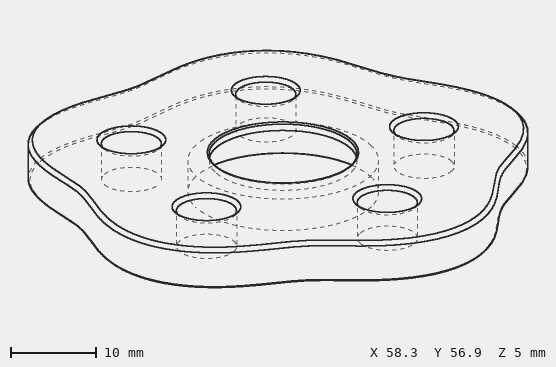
import cadquery as cq
import math

thickness = 5.0
lobe_count = 5
lobe_radius = 30.0
valley_radius = 26.0
first_lobe_angle = -90.0
wave_offset = 3.7
points_per_lobe = 16
top_chamfer = 0.5
bottom_chamfer = 0.2

lip_thickness = 1.0
bore_diameter = 17.2
bore_chamfer = 0.2
pocket_diameter = 22.2

bolt_circle_radius = 18.0
bolt_hole_diameter = 7.0
bolt_hole_chamfer = 0.5

lobe_pitch = 360.0 / lobe_count


def polar_point(radius, angle):
    """Return the XY point at a radius and an angle in degrees."""
    return (radius * math.cos(math.radians(angle)), radius * math.sin(math.radians(angle)))


def outline_point(turn):
    """Point of the lobed outline, at an angle in degrees measured from the first lobe tip.

    The outline is offset outwards from the wave r = mean + amplitude * cos(lobe_count * turn).
    """
    amplitude = (lobe_radius - valley_radius) / 2
    mean_radius = (lobe_radius + valley_radius) / 2 - wave_offset
    phase = math.radians(lobe_count * turn)
    radius = mean_radius + amplitude * math.cos(phase)
    slope = -lobe_count * amplitude * math.sin(phase)
    angle = first_lobe_angle + turn
    normal_angle = angle - math.degrees(math.atan2(slope, radius))
    x, y = polar_point(radius, angle)
    offset_x, offset_y = polar_point(wave_offset, normal_angle)
    return (x + offset_x, y + offset_y)


def lobed_plate():
    """Flower-shaped plate bounded by one smooth closed curve, chamfered top and bottom."""
    segment_count = lobe_count * points_per_lobe
    outline = [outline_point(360.0 * step / segment_count) for step in range(segment_count)]
    plate = cq.Workplane("XY").spline(outline, periodic=True, makeWire=True).extrude(thickness)
    plate = plate.faces(">Z").edges().chamfer(top_chamfer)
    return plate.faces("<Z").edges().chamfer(bottom_chamfer)


def cylinder(diameter, bottom, top):
    """Cylinder on the Z axis between two heights."""
    return cq.Workplane("XY").workplane(offset=bottom).circle(diameter / 2).extrude(top - bottom)


def chamfered_hole(diameter, chamfer):
    """Cutting body for a through hole on the Z axis, chamfered at its upper mouth."""
    mouth = cq.Solid.makeCone(diameter / 2, diameter / 2 + chamfer, chamfer)
    mouth = mouth.translate(cq.Vector(0, 0, thickness - chamfer))
    return cylinder(diameter, 0, thickness).union(cq.Workplane(mouth))


def central_opening():
    """Cutting body for the central bore and the pocket beneath its lip."""
    pocket = cylinder(pocket_diameter, 0, thickness - lip_thickness)
    return chamfered_hole(bore_diameter, bore_chamfer).union(pocket)


def bolt_hole(angle):
    """Cutting body for one bolt hole on the bolt circle."""
    x, y = polar_point(bolt_circle_radius, angle)
    return chamfered_hole(bolt_hole_diameter, bolt_hole_chamfer).translate((x, y, 0))


result = lobed_plate().cut(central_opening())
for lobe in range(lobe_count):
    result = result.cut(bolt_hole(first_lobe_angle + lobe * lobe_pitch))